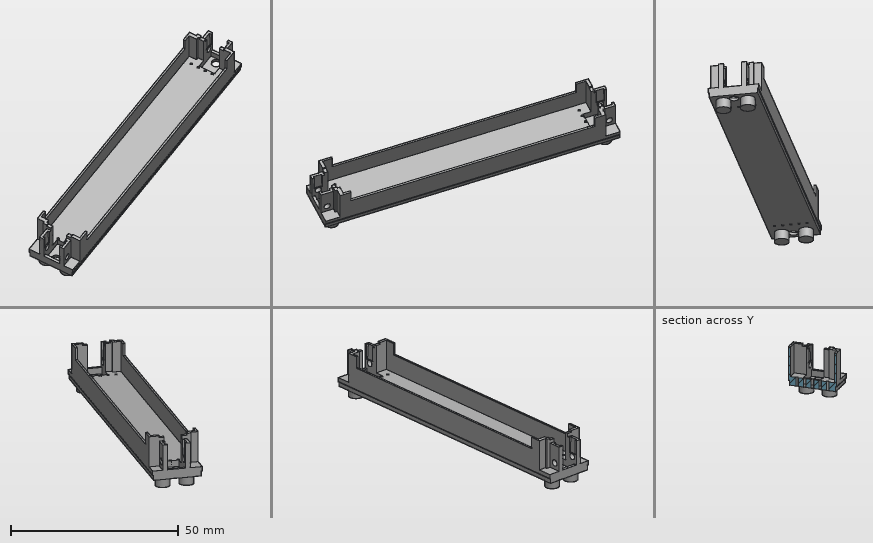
import cadquery as cq

LENGTH = 95.0
WIDTH = 15.4
PLATE_THICKNESS = 2.9
STEP_INSET = 0.3
STEP_HEIGHT = 1.5

PEG_DIAMETER = 4.5
PEG_LENGTH = 3.0
PEG_X = 3.7
PEG_FROM_END = 3.4

SIDE_WALL_THICKNESS = 0.7
SIDE_WALL_HEIGHT = 5.8
CORNER_WALL_HEIGHT = 9.5
CORNER_FROM_END = 8.2
END_WALL_THICKNESS = 1.0
END_WALL_FROM_END = 4.0
JOG_DEPTH = 0.7
INNER_JOG_DEPTH = 0.9
JOG_X = -5.3
JOG_WALL_THICKNESS = 0.9

CLAMP_X = 0.3
POST_GAP = 5.5
POST_THICKNESS = 1.5
POST_HEIGHT = 7.9
POST_LENGTH = 4.75
BRIDGE_HEIGHT = 8.9

CROSS_HOLE_DIAMETER = 2.0
CROSS_HOLE_FROM_END = 2.0
CROSS_HOLE_HEIGHT = 2.1
LEAD_IN_WIDTH = 2.6
LEAD_IN_TOP_DEPTH = 0.7
LEAD_IN_END_DEPTH = 0.4

RECESS_FROM_END = 0.95
RECESS_LENGTH = 6.65
RECESS_DEPTH = 2.0
SCREW_HOLE_DIAMETER = 2.85
SCREW_HOLE_FROM_END = 2.5

PIN_COUNT = 5
PIN_PITCH = 2.5
PIN_DIAMETER = 0.7
PIN_FROM_END = 8.1

PLATE_TOP = PEG_LENGTH + PLATE_THICKNESS
HALF_LENGTH = LENGTH / 2
HALF_WIDTH = WIDTH / 2
GAP_LEFT = CLAMP_X - POST_GAP / 2
GAP_RIGHT = CLAMP_X + POST_GAP / 2
POST_LEFT = GAP_LEFT - POST_THICKNESS
POST_RIGHT = GAP_RIGHT + POST_THICKNESS


def block(x_range, y_range, z_range):
    """Box spanning the given (low, high) ranges."""
    sizes = [high - low for low, high in (x_range, y_range, z_range)]
    origin = (x_range[0], y_range[0], z_range[0])
    return cq.Workplane("XY").box(*sizes, centered=False).translate(origin)


def from_end(near, far):
    """Y range between two distances from the -Y end."""
    return (near - HALF_LENGTH, far - HALF_LENGTH)


def above_plate(height):
    """Z range from the plate top up to the given height."""
    return (PLATE_TOP, PLATE_TOP + height)


def cylinder_z(x, y, diameter, bottom, height):
    return cq.Workplane("XY", origin=(x, y, bottom)).circle(diameter / 2).extrude(height)


def cylinder_x(y, z, diameter, start, end):
    return cq.Workplane("YZ", origin=(start, y, z)).circle(diameter / 2).extrude(end - start)


def both_ends(shape):
    """The shape at the -Y end together with its mirror image at the +Y end."""
    return shape.union(shape.mirror("XZ"))


def base_plate():
    half_step = HALF_WIDTH - STEP_INSET
    y_range = (-HALF_LENGTH, HALF_LENGTH)
    step_top = PEG_LENGTH + STEP_HEIGHT
    lower = block((-half_step, half_step), y_range, (PEG_LENGTH, PLATE_TOP))
    upper = block((-HALF_WIDTH, HALF_WIDTH), y_range, (step_top, PLATE_TOP))
    return lower.union(upper)


def wall_ring(height):
    """Tray wall following the full outline, with a jog at both -X corners."""
    inner_x = HALF_WIDTH - SIDE_WALL_THICKNESS
    outer_y = HALF_LENGTH - END_WALL_FROM_END
    inner_y = outer_y - END_WALL_THICKNESS
    outer = wall_outline(HALF_WIDTH, JOG_X, outer_y, JOG_DEPTH, height)
    inner = wall_outline(inner_x, JOG_X + JOG_WALL_THICKNESS, inner_y, INNER_JOG_DEPTH, height)
    return outer.cut(inner)


def wall_outline(half_x, jog_x, half_y, jog_depth, height):
    """Solid block with the -X corners notched by the jog."""
    jog_y = half_y - jog_depth
    return (
        cq.Workplane("XY", origin=(0, 0, PLATE_TOP))
        .moveTo(half_x, -half_y)
        .lineTo(half_x, half_y)
        .lineTo(jog_x, half_y)
        .lineTo(jog_x, jog_y)
        .lineTo(-half_x, jog_y)
        .lineTo(-half_x, -jog_y)
        .lineTo(jog_x, -jog_y)
        .lineTo(jog_x, -half_y)
        .close()
        .extrude(height)
    )


def tray_walls():
    walls = wall_ring(CORNER_WALL_HEIGHT)
    low_half = HALF_LENGTH - CORNER_FROM_END
    full_x = (-HALF_WIDTH, HALF_WIDTH)
    low_z = (PLATE_TOP + SIDE_WALL_HEIGHT, PLATE_TOP + CORNER_WALL_HEIGHT)
    walls = walls.cut(block(full_x, (-low_half, low_half), low_z))

    end_y = from_end(0, CORNER_FROM_END)
    bridge_z = (PLATE_TOP + BRIDGE_HEIGHT, PLATE_TOP + CORNER_WALL_HEIGHT)
    bridge = block((POST_LEFT, POST_RIGHT), end_y, bridge_z)
    gap = block((GAP_LEFT, GAP_RIGHT), end_y, above_plate(CORNER_WALL_HEIGHT))
    return walls.cut(both_ends(bridge.union(gap)))


def clamp_posts():
    y_range = from_end(0, POST_LENGTH)
    z_range = above_plate(POST_HEIGHT)
    left = block((POST_LEFT, GAP_LEFT), y_range, z_range)
    right = block((GAP_RIGHT, POST_RIGHT), y_range, z_range)
    return both_ends(left.union(right))


def clamp_cuts():
    """Cross hole through both posts, and lead-in grooves that get shallower from the post top down."""
    y = CROSS_HOLE_FROM_END - HALF_LENGTH
    z = PLATE_TOP + CROSS_HOLE_HEIGHT
    post_top = PLATE_TOP + POST_HEIGHT
    groove_end = z + CROSS_HOLE_DIAMETER / 2
    hole = cylinder_x(y, z, CROSS_HOLE_DIAMETER, POST_LEFT, POST_RIGHT)
    lead_in = (
        cq.Workplane("XZ", origin=(0, y, 0))
        .moveTo(GAP_LEFT - LEAD_IN_END_DEPTH, groove_end)
        .lineTo(GAP_LEFT - LEAD_IN_TOP_DEPTH, post_top)
        .lineTo(GAP_RIGHT + LEAD_IN_TOP_DEPTH, post_top)
        .lineTo(GAP_RIGHT + LEAD_IN_END_DEPTH, groove_end)
        .close()
        .extrude(LEAD_IN_WIDTH / 2, both=True)
    )
    return both_ends(hole.union(lead_in))


def recesses():
    y_range = from_end(RECESS_FROM_END, RECESS_FROM_END + RECESS_LENGTH)
    pocket = block((GAP_LEFT, GAP_RIGHT), y_range, (PLATE_TOP - RECESS_DEPTH, PLATE_TOP))
    screw_y = SCREW_HOLE_FROM_END - HALF_LENGTH
    screw = cylinder_z(CLAMP_X, screw_y, SCREW_HOLE_DIAMETER, PEG_LENGTH, PLATE_THICKNESS)
    return both_ends(pocket.union(screw))


def pegs():
    y = PEG_FROM_END - HALF_LENGTH
    left = cylinder_z(-PEG_X, y, PEG_DIAMETER, 0, PEG_LENGTH)
    right = cylinder_z(PEG_X, y, PEG_DIAMETER, 0, PEG_LENGTH)
    return both_ends(left.union(right))


def pin_holes():
    return (
        cq.Workplane("XY", origin=(0, 0, PEG_LENGTH))
        .rarray(PIN_PITCH, LENGTH - 2 * PIN_FROM_END, PIN_COUNT, 2)
        .circle(PIN_DIAMETER / 2)
        .extrude(PLATE_THICKNESS)
    )


body = base_plate().union(tray_walls()).union(clamp_posts()).union(pegs())
result = body.cut(clamp_cuts()).cut(recesses()).cut(pin_holes())